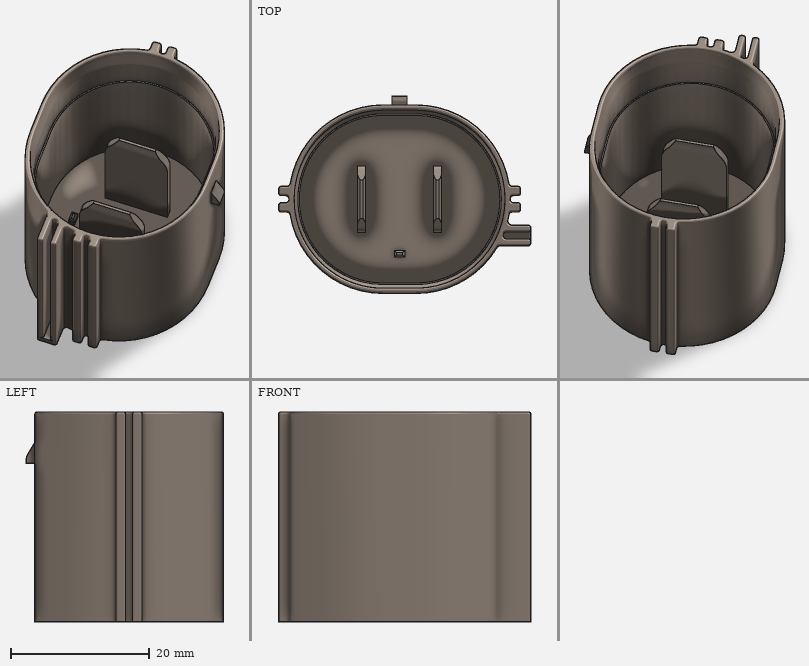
import cadquery as cq
import math

HEIGHT = 30.4
BODY_RADIUS = 13.65
CENTRE_OFFSET = 2.38
FLOOR_THICKNESS = 2.7
TOP_ROUND = 0.35

NECK_INSET = 0.77
BORE_INSET = 1.3
LOWER_BORE_INSET = 1.52
NECK_DEPTH = 0.65
LEAD_IN_END_Z = 28.0
LEAD_IN_BLEND_RADIUS = 1.2
LEDGE_Z = 22.85

RIB_REACH = 17.5
RIB_GAP = 1.0
RIB_WIDTH = 1.38
RIB_ROOT_RADIUS = 0.45
RIB_EMBED = 1.0
TIP_RADIUS = 0.4

FIN_REACH = 19.0
FIN_TOP_Y = -3.75
FIN_WALL = 1.0
FIN_SLOT_WIDTH = 1.0
FIN_SLOT_START_X = 15.0
FIN_SLOT_FLOOR = 1.0
FIN_ROOT_RADIUS = 0.6
FIN_EMBED = 3.0

TOOTH_WIDTH = 2.2
TOOTH_REACH = 1.25
TOOTH_BOTTOM_Z = 22.93
TOOTH_TOP_Z = 26.0
TOOTH_NOSE_HEIGHT = 0.95
TOOTH_NOSE_RADIUS = 1.6

BLADE_SPACING = 11.0
BLADE_THICKNESS = 1.2
BLADE_WIDTH = 9.6
BLADE_TOP_Z = 20.7
BLADE_RIDGE_THICKNESS = 0.4
BLADE_RIDGE_LENGTH = 5.6
BLADE_SIDE_ROUND_HEIGHT = 1.5
BLADE_END_TAPER_ANGLE = 34.0
BLADE_END_RADIUS = 4.0

KEY_LENGTH = 1.5
KEY_WIDTH = 0.95
KEY_HEIGHT = 1.0
KEY_CHAMFER = 0.3
KEY_Y = -7.9

TOLERANCE = 0.001
OVERLAP = 0.5


def round_ended_prism(inset, bottom_z, top_z, top_inset=None):
    """Prism of the body outline shrunk by an inset, which may change towards the top."""
    radius = BODY_RADIUS - inset
    widening = 0.0 if top_inset is None else inset - top_inset
    taper = -math.degrees(math.atan2(widening, top_z - bottom_z))
    outline = cq.Workplane("XY").workplane(offset=bottom_z).slot2D(2 * (CENTRE_OFFSET + radius), 2 * radius)
    return outline.extrude(top_z - bottom_z, taper=taper)


def upright_block(x_min, x_max, y_min, y_max):
    """Rectangular block of full body height."""
    block = cq.Workplane("XY").box(x_max - x_min, y_max - y_min, HEIGHT, centered=False)
    return block.translate((x_min, y_min, 0))


def edges_with_x_between(solid, low, high, y_low=-BODY_RADIUS, y_high=BODY_RADIUS):
    """Vertical edges whose distance from the YZ plane and Y position fall in the given ranges."""
    def wanted(edge):
        centre = edge.Center()
        return low < abs(centre.x) < high and y_low < centre.y < y_high

    return solid.edges("|Z").filter(wanted)


def edges_at_level(solid, level):
    """Horizontal edges lying at one height."""
    def wanted(edge):
        box = edge.BoundingBox()
        return abs(box.zmin - level) < TOLERANCE and abs(box.zmax - level) < TOLERANCE

    return solid.edges().filter(wanted)


def outer_shell():
    shell = round_ended_prism(0.0, 0.0, HEIGHT)
    body_side_x = CENTRE_OFFSET + BODY_RADIUS
    rib_root_x = body_side_x - RIB_EMBED
    fin_root_x = body_side_x - FIN_EMBED
    rib_outer_y = RIB_GAP / 2 + RIB_WIDTH
    for y_min in (RIB_GAP / 2, -rib_outer_y):
        shell = shell.union(upright_block(rib_root_x, RIB_REACH, y_min, y_min + RIB_WIDTH))
        shell = shell.union(upright_block(-RIB_REACH, -rib_root_x, y_min, y_min + RIB_WIDTH))

    fin_bottom_y = FIN_TOP_Y - 2 * FIN_WALL - FIN_SLOT_WIDTH
    shell = shell.union(upright_block(fin_root_x, FIN_REACH, fin_bottom_y, FIN_TOP_Y))

    fin_zone = (fin_bottom_y - TIP_RADIUS, FIN_TOP_Y + TIP_RADIUS)
    rib_zone = (-rib_outer_y - TIP_RADIUS, rib_outer_y + TIP_RADIUS)
    tip_start_x = RIB_REACH - TIP_RADIUS
    shell = edges_with_x_between(shell, rib_root_x, tip_start_x, *rib_zone).fillet(RIB_ROOT_RADIUS)
    shell = edges_with_x_between(shell, fin_root_x, tip_start_x, *fin_zone).fillet(FIN_ROOT_RADIUS)

    slot_length = 2 * (FIN_REACH - FIN_SLOT_START_X)
    fin_slot = (
        cq.Workplane("XY")
        .workplane(offset=FIN_SLOT_FLOOR)
        .center(FIN_REACH, (fin_bottom_y + FIN_TOP_Y) / 2)
        .slot2D(slot_length, FIN_SLOT_WIDTH)
        .extrude(HEIGHT)
    )
    shell = shell.cut(fin_slot)
    shell = edges_with_x_between(shell, tip_start_x, FIN_REACH + TIP_RADIUS).fillet(TIP_RADIUS)
    return shell.faces(">Z").edges().fillet(TOP_ROUND)


def bore():
    neck_z = HEIGHT - NECK_DEPTH
    lower_bore = round_ended_prism(LOWER_BORE_INSET, FLOOR_THICKNESS, LEDGE_Z)
    upper_bore = round_ended_prism(BORE_INSET, LEDGE_Z, LEAD_IN_END_Z)
    lead_in = round_ended_prism(BORE_INSET, LEAD_IN_END_Z, neck_z, NECK_INSET)
    neck = round_ended_prism(NECK_INSET, neck_z, HEIGHT)
    mouth = upper_bore.union(lead_in).union(neck)
    for level in (LEAD_IN_END_Z, neck_z):
        mouth = edges_at_level(mouth, level).fillet(LEAD_IN_BLEND_RADIUS)
    return lower_bore.union(mouth)


def round_bore_rim(cup):
    """Round the inner edge of the rim all the way around."""
    def on_bore_rim(edge):
        return abs(edge.radius() - (BODY_RADIUS - NECK_INSET)) < TOLERANCE

    rim_arcs = cup.faces(">Z").edges("%CIRCLE").filter(on_bore_rim)
    return rim_arcs.fillet(TOP_ROUND)


def snap_tooth():
    tip_y = BODY_RADIUS + TOOTH_REACH
    tooth = (
        cq.Workplane("YZ")
        .moveTo(BODY_RADIUS - OVERLAP, TOOTH_BOTTOM_Z)
        .lineTo(tip_y, TOOTH_BOTTOM_Z)
        .lineTo(tip_y, TOOTH_BOTTOM_Z + TOOTH_NOSE_HEIGHT)
        .lineTo(BODY_RADIUS, TOOTH_TOP_Z)
        .lineTo(BODY_RADIUS - OVERLAP, TOOTH_TOP_Z)
        .close()
        .extrude(TOOTH_WIDTH / 2, both=True)
    )
    nose_edge = tooth.faces(">Y").edges(">Z")
    return nose_edge.fillet(TOOTH_NOSE_RADIUS)


def blade():
    """Blade centred on the Z axis: its end outline and its side outline intersected."""
    base_z = FLOOR_THICKNESS - OVERLAP
    half_width = BLADE_WIDTH / 2
    half_ridge = BLADE_RIDGE_LENGTH / 2
    taper = math.radians(BLADE_END_TAPER_ANGLE)
    bevel_end_y = half_width - BLADE_END_RADIUS * (1 - math.cos(taper))
    bevel_end_z = BLADE_TOP_Z - (bevel_end_y - half_ridge) / math.tan(taper)
    shoulder_z = bevel_end_z - BLADE_END_RADIUS * math.sin(taper)
    broad_outline = (
        cq.Workplane("YZ")
        .moveTo(-half_width, base_z)
        .lineTo(half_width, base_z)
        .lineTo(half_width, shoulder_z)
        .tangentArcPoint((bevel_end_y, bevel_end_z), relative=False)
        .lineTo(half_ridge, BLADE_TOP_Z)
        .lineTo(-half_ridge, BLADE_TOP_Z)
        .lineTo(-bevel_end_y, bevel_end_z)
        .tangentArcPoint((-half_width, shoulder_z), relative=False)
        .close()
        .extrude(BLADE_THICKNESS, both=True)
    )

    half_thickness = BLADE_THICKNESS / 2
    half_ridge_thickness = BLADE_RIDGE_THICKNESS / 2
    side_round_z = BLADE_TOP_Z - BLADE_SIDE_ROUND_HEIGHT
    right_half = (
        cq.Workplane("XZ")
        .moveTo(0, base_z)
        .lineTo(half_thickness, base_z)
        .lineTo(half_thickness, side_round_z)
        .tangentArcPoint((half_ridge_thickness, BLADE_TOP_Z), relative=False)
        .lineTo(0, BLADE_TOP_Z)
        .close()
        .extrude(BLADE_WIDTH, both=True)
    )
    narrow_outline = right_half.union(right_half.mirror("YZ"))
    return broad_outline.intersect(narrow_outline)


def floor_key():
    height = KEY_HEIGHT + OVERLAP
    key = cq.Workplane("XY").box(KEY_LENGTH, KEY_WIDTH, height, centered=(True, True, False))
    key = key.faces(">Z").edges().chamfer(KEY_CHAMFER)
    return key.translate((0, KEY_Y, FLOOR_THICKNESS - OVERLAP))


cup = round_bore_rim(outer_shell().cut(bore()))
result = cup.union(snap_tooth()).union(floor_key())
for blade_x in (-BLADE_SPACING / 2, BLADE_SPACING / 2):
    result = result.union(blade().translate((blade_x, 0, 0)))